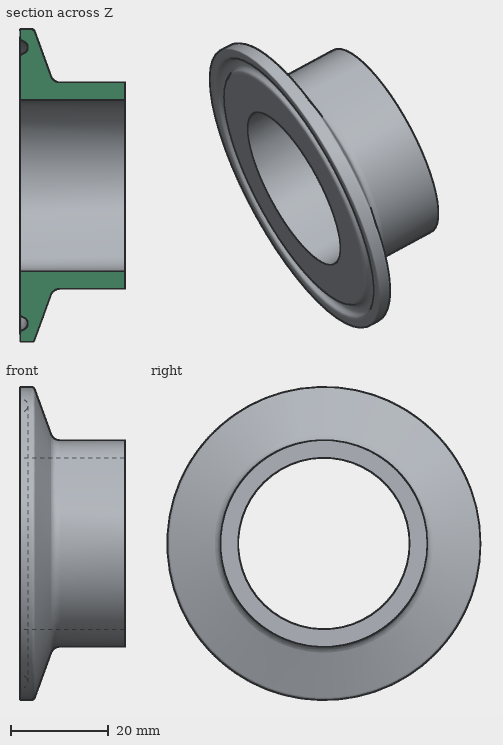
import cadquery as cq
import math

length = 21.5
flange_radius = 32.0
pipe_radius = 21.1
bore_radius = 17.5

cone_angle = 20.0
rim_width = 2.9
rim_back_fillet = 0.8
rim_front_fillet = 0.25
neck_fillet = 1.8

groove_center_radius = 28.2
groove_round_radius = 1.3
groove_depth = 1.6
groove_lip_radius = 0.8
groove_wall_angle = 25.0


def make_body():
    """Revolve the flange, cone and pipe, and round the outside edges."""
    cone_height = flange_radius - pipe_radius
    cone_end = rim_width + cone_height * math.tan(math.radians(cone_angle))
    body = (
        cq.Workplane("XY")
        .moveTo(0, bore_radius)
        .lineTo(0, flange_radius)
        .lineTo(rim_width, flange_radius)
        .lineTo(cone_end, pipe_radius)
        .lineTo(length, pipe_radius)
        .lineTo(length, bore_radius)
        .close()
        .revolve(360, (0, 0, 0), (1, 0, 0))
    )

    def edge_at(x, radius):
        margin = 0.05
        reach = radius + margin
        return cq.selectors.BoxSelector(
            (x - margin, -reach, -reach), (x + margin, reach, reach), boundingbox=True
        )

    body = body.edges(edge_at(cone_end, pipe_radius)).fillet(neck_fillet)
    body = body.edges(edge_at(rim_width, flange_radius)).fillet(rim_back_fillet)
    return body.faces("<X").edges(cq.selectors.RadiusNthSelector(-1)).fillet(rim_front_fillet)


def make_groove():
    """Ring with a round floor and sloping walls that flare into the face through tangent lips."""
    slope = math.radians(groove_wall_angle)
    wall_bottom_x = groove_depth - groove_round_radius * (1 - math.sin(slope))
    wall_bottom_offset = groove_round_radius * math.cos(slope)
    wall_top_x = groove_lip_radius * (1 - math.sin(slope))
    wall_top_offset = wall_bottom_offset + (wall_bottom_x - wall_top_x) * math.tan(slope)
    mouth_offset = wall_top_offset + groove_lip_radius * math.cos(slope)
    half_turn = (math.pi / 2 - slope) / 2
    lip_mid_x = groove_lip_radius * (1 - math.cos(half_turn))
    lip_mid_offset = mouth_offset - groove_lip_radius * math.sin(half_turn)

    def inner(x, offset):
        return x, groove_center_radius - offset

    def outer(x, offset):
        return x, groove_center_radius + offset

    return (
        cq.Workplane("XY")
        .moveTo(*inner(0, mouth_offset))
        .threePointArc(inner(lip_mid_x, lip_mid_offset), inner(wall_top_x, wall_top_offset))
        .lineTo(*inner(wall_bottom_x, wall_bottom_offset))
        .threePointArc((groove_depth, groove_center_radius), outer(wall_bottom_x, wall_bottom_offset))
        .lineTo(*outer(wall_top_x, wall_top_offset))
        .threePointArc(outer(lip_mid_x, lip_mid_offset), outer(0, mouth_offset))
        .close()
        .revolve(360, (0, 0, 0), (1, 0, 0))
    )


result = make_body().cut(make_groove())